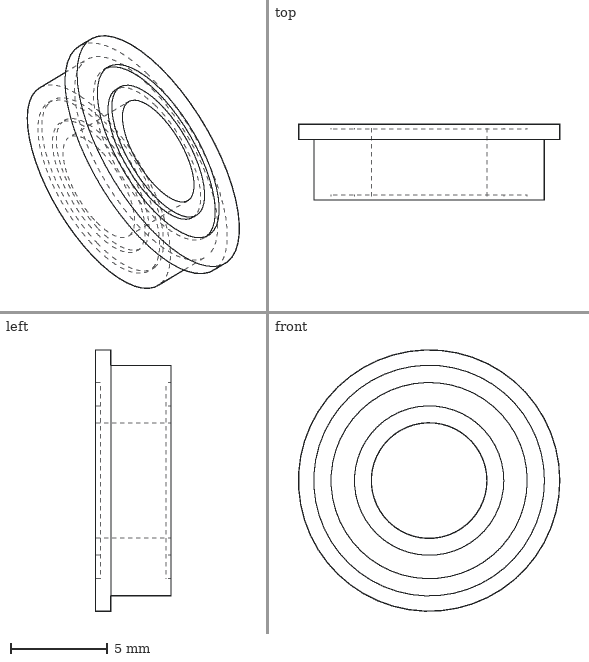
import cadquery as cq

flange_diameter = 13.58
flange_thickness = 0.8
body_diameter = 11.98
width = 3.94
bore_diameter = 5.99
inner_ring_diameter = 7.75
outer_ring_bore = 10.18
shield_recess = 0.26


def cylinder(diameter, start, length):
    """Solid cylinder along +Y whose first face lies at Y = start."""
    plane = cq.Plane(origin=(0, start, 0), xDir=(1, 0, 0), normal=(0, 1, 0))
    return cq.Workplane(plane).circle(diameter / 2).extrude(length)


def shield_groove(start):
    """Shallow ring between the inner and outer bearing rings."""
    outer = cylinder(outer_ring_bore, start, shield_recess)
    return outer.cut(cylinder(inner_ring_diameter, start, shield_recess))


body = cylinder(body_diameter, 0, width)
flange = cylinder(flange_diameter, width - flange_thickness, flange_thickness)
result = body.union(flange)

result = result.cut(cylinder(bore_diameter, 0, width))

for groove_start in (0, width - shield_recess):
    result = result.cut(shield_groove(groove_start))